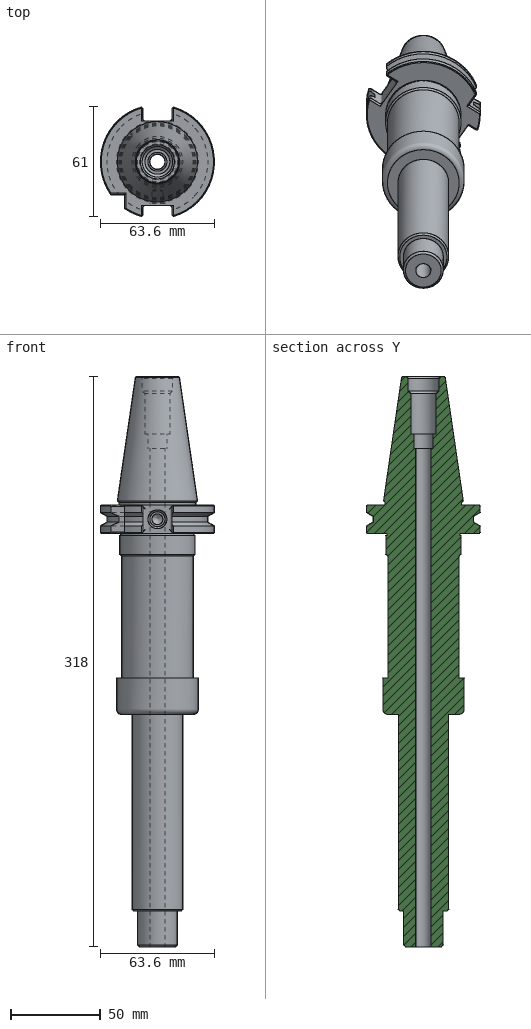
import cadquery as cq
import math

overall_length = 317.95
gauge_diameter = 44.45
taper_length = 68.4
taper_per_length = 7 / 24
taper_end_chamfer = 0.6
bottom_z = taper_length - overall_length

relief_top_z = -0.9
relief_depth = 0.9

flange_diameter = 63.55
flange_top_z = -3.2
flange_bottom_z = -19.1
flange_chamfer = 0.5
groove_center_z = (flange_top_z + flange_bottom_z) / 2
groove_diameter = 56.25
groove_opening = 7.4
groove_flank_angle = 30

neck_diameter = 41.0
neck_height = 1.0
collar_diameter = 42.1
collar_bottom_z = -31.6
collar_chamfer = 0.9
body_diameter = 40.0
ring_diameter = 45.6
ring_top_z = -99.55
ring_bottom_z = -120.0
ring_fillet = 3.0
stem_diameter = 28.3
stem_chamfer = 1.0
tip_diameter = 22.3
tip_length = 20.0
tip_chamfer = 1.2

counterbore_diameter = 17.0
counterbore_depth = 8.0
counterbore_chamfer = 1.0
thread_diameter = 13.84
thread_depth = 32.0
step_diameter = 10.5
step_depth = 40.0
passage_diameter = 8.35

slot_width = 16.1
front_slot_floor = 24.4
back_slot_floor = 22.8
notch_offset = 18.4
edge_chamfer = 0.9
slot_floor_fillet = 1.2

coolant_mouth_diameter = 10.5
coolant_seat_diameter = 8.38
coolant_seat_depth = 1.5
coolant_bore_diameter = 6.0
coolant_bore_depth = 8.0
drill_point_angle = 118


def make_body():
    """Revolve the outer profile, from the taper end down to the tip."""
    gauge_r = gauge_diameter / 2
    taper_end_r = gauge_r - taper_length * taper_per_length / 2
    taper_base_r = gauge_r - relief_top_z * taper_per_length / 2
    chamfer_r = taper_end_r + taper_end_chamfer * taper_per_length / 2 - taper_end_chamfer
    flange_r = flange_diameter / 2
    groove_r = groove_diameter / 2
    half_opening = groove_opening / 2
    half_floor = half_opening - (flange_r - groove_r) * math.tan(math.radians(groove_flank_angle))
    collar_r = collar_diameter / 2
    body_r = body_diameter / 2
    stem_r = stem_diameter / 2
    tip_r = tip_diameter / 2
    stem_bottom_z = bottom_z + tip_length

    profile = [
        (0, taper_length),
        (chamfer_r, taper_length),
        (chamfer_r + taper_end_chamfer, taper_length - taper_end_chamfer),
        (taper_base_r, relief_top_z),
        (taper_base_r - relief_depth, relief_top_z - relief_depth),
        (taper_base_r - relief_depth, flange_top_z),
        (flange_r - flange_chamfer, flange_top_z),
        (flange_r, flange_top_z - flange_chamfer),
        (flange_r, groove_center_z + half_opening),
        (groove_r, groove_center_z + half_floor),
        (groove_r, groove_center_z - half_floor),
        (flange_r, groove_center_z - half_opening),
        (flange_r, flange_bottom_z + flange_chamfer),
        (flange_r - flange_chamfer, flange_bottom_z),
        (neck_diameter / 2, flange_bottom_z),
        (neck_diameter / 2, flange_bottom_z - neck_height),
        (collar_r, flange_bottom_z - neck_height),
        (collar_r, collar_bottom_z + collar_chamfer),
        (body_r, collar_bottom_z),
        (body_r, ring_bottom_z),
        (stem_r, ring_bottom_z),
        (stem_r, stem_bottom_z + stem_chamfer),
        (stem_r - stem_chamfer, stem_bottom_z),
        (tip_r, stem_bottom_z),
        (tip_r, bottom_z + tip_chamfer),
        (tip_r - tip_chamfer, bottom_z),
        (0, bottom_z),
    ]
    return cq.Workplane("XZ").polyline(profile).close().revolve(360, (0, 0, 0), (0, 1, 0))


def make_ring():
    """Ring at the lower end of the body, rounded along its bottom rim."""
    ring = cq.Workplane("XY", origin=(0, 0, ring_bottom_z)).circle(ring_diameter / 2)
    ring = ring.extrude(ring_top_z - ring_bottom_z)
    return ring.faces("<Z").edges().fillet(ring_fillet)


def make_bore():
    """Chamfered counterbore, countersunk thread core, step and through passage."""
    counterbore_r = counterbore_diameter / 2
    thread_r = thread_diameter / 2
    step_r = step_diameter / 2
    passage_r = passage_diameter / 2
    counterbore_z = taper_length - counterbore_depth
    thread_z = taper_length - thread_depth
    step_z = taper_length - step_depth
    profile = [
        (0, taper_length),
        (counterbore_r + counterbore_chamfer, taper_length),
        (counterbore_r, taper_length - counterbore_chamfer),
        (counterbore_r, counterbore_z),
        (thread_r, counterbore_z - (counterbore_r - thread_r)),
        (thread_r, thread_z),
        (step_r, thread_z),
        (step_r, step_z),
        (passage_r, step_z),
        (passage_r, bottom_z),
        (0, bottom_z),
    ]
    return cq.Workplane("XZ").polyline(profile).close().revolve(360, (0, 0, 0), (0, 1, 0))


def make_slot_cutter(floor):
    """Cutter for a drive slot on the +Y side, flared to chamfer the slot edges."""
    half = slot_width / 2
    reach = flange_diameter / 2
    depth = reach - floor
    side = [
        (half + edge_chamfer, flange_top_z),
        (half, flange_top_z - edge_chamfer),
        (half, flange_bottom_z + edge_chamfer),
        (half + edge_chamfer, flange_bottom_z),
    ]
    mirrored_side = [(-x, z) for x, z in reversed(side)]
    channel = cq.Workplane("XZ", origin=(0, floor, 0)).polyline(side + mirrored_side).close().extrude(-depth)
    channel = channel.faces("<Y").edges("|Z").fillet(slot_floor_fillet)

    rim_y = math.sqrt(reach**2 - (half + edge_chamfer) ** 2)
    mouth = [
        (-half, rim_y - edge_chamfer),
        (half, rim_y - edge_chamfer),
        (half + edge_chamfer, rim_y),
        (half + edge_chamfer, reach),
        (-half - edge_chamfer, reach),
        (-half - edge_chamfer, rim_y),
    ]
    height = flange_top_z - flange_bottom_z
    mouth_cut = cq.Workplane("XY", origin=(0, 0, flange_bottom_z)).polyline(mouth).close().extrude(height)
    return channel.union(mouth_cut)


def make_notch_cutter():
    """Corner cutter on the -X -Y side, flared to chamfer the notch edges."""
    size = flange_diameter / 2
    height = flange_top_z - flange_bottom_z
    center = -notch_offset - size / 2
    cutter = cq.Workplane("XY").box(size, size, height).translate((center, center, groove_center_z))
    wide = size + 2 * edge_chamfer
    for direction in (1, -1):
        flare = (
            cq.Workplane("XY")
            .workplane(offset=groove_center_z + direction * (height / 2 - edge_chamfer))
            .rect(size, size)
            .workplane(offset=direction * edge_chamfer)
            .rect(wide, wide)
            .loft()
            .translate((center, center, 0))
        )
        cutter = cutter.union(flare)
    return cutter


def make_coolant_cutter():
    """Chamfered, stepped blind hole with a drill point, running in from the -Y slot floor."""
    mouth_r = coolant_mouth_diameter / 2
    seat_r = coolant_seat_diameter / 2
    bore_r = coolant_bore_diameter / 2
    point_height = bore_r / math.tan(math.radians(drill_point_angle / 2))
    profile = [
        (0, 0),
        (mouth_r, 0),
        (seat_r, mouth_r - seat_r),
        (seat_r, coolant_seat_depth),
        (bore_r, coolant_seat_depth),
        (bore_r, coolant_bore_depth),
        (0, coolant_bore_depth + point_height),
    ]
    cutter = cq.Workplane("XY").polyline(profile).close().revolve(360, (0, 0, 0), (0, 1, 0))
    return cutter.translate((0, -front_slot_floor, groove_center_z))


result = make_body().union(make_ring()).cut(make_bore())
result = result.cut(make_slot_cutter(back_slot_floor))
result = result.cut(make_slot_cutter(front_slot_floor).rotate((0, 0, 0), (0, 0, 1), 180))
result = result.cut(make_notch_cutter())
result = result.cut(make_coolant_cutter())